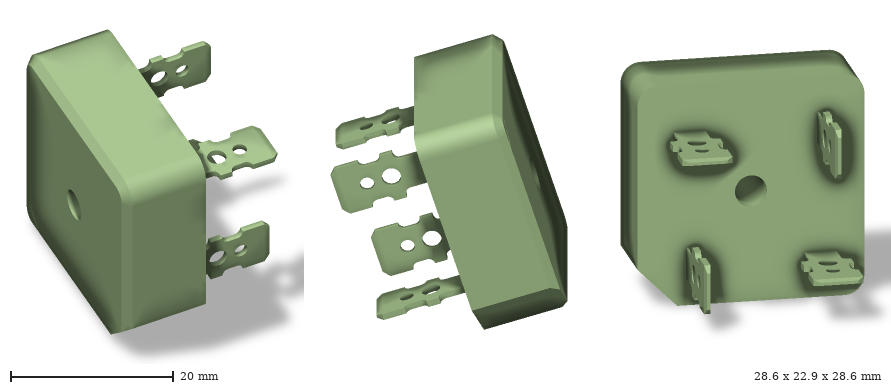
import cadquery as cq
import math


side = 28.55
housing_depth = 11.1
corner_radius = 2.5
front_bevel = 1.0
key_corner_leg = 5.0

plate_side = side - 2 * front_bevel
plate_thickness = 2.0
plate_corner_leg = 3.28
plate_key_leg = key_corner_leg
plate_slit = 0.25

bushing_diameter = 8.0
bushing_bore = 4.0
tab_span = 10.0
tab_width = 2.0

terminal_length = 11.8
terminal_width = 6.3
terminal_thickness = 0.8
tip_bevel_length = 0.8
tip_corner_leg = 0.8
tip_thickness = 0.4
notch_start = 3.75
notch_length = 2.8
notch_depth = 0.8
lug_length = 1.63
neck_width = 4.05
neck_fillet = 0.8
small_hole_diameter = 1.77
small_hole_distance = 4.0
large_hole_diameter = 2.37
large_hole_distance = 7.15

terminal_places = [
    (-8.7, -8.8, 0),
    (-8.7, 7.65, 90),
    (7.77, -8.8, 90),
    (7.77, 7.82, 0),
]


def front_sketch():
    """Workplane on the front face: local x is X, local y is Z; a negative extrusion goes toward +Y."""
    return cq.Workplane("XZ")


def plate_outline(slit):
    """Square with four cut corners; slit lengthens the -X -Z corner cut along X."""
    half = plate_side / 2
    inner = half - plate_corner_leg
    key = half - plate_key_leg
    return front_sketch().polyline([
        (-inner, half),
        (inner, half),
        (half, inner),
        (half, -key),
        (key, -half),
        (-inner + slit, -half),
        (-half, -inner),
        (-half, inner),
    ]).close()


def make_bushing_blank():
    """Round sleeve with four rounded-end tabs, without its bore."""
    core = front_sketch().circle(bushing_diameter / 2).extrude(-housing_depth)
    tabs = (
        front_sketch()
        .rect(tab_span, tab_width)
        .extrude(-housing_depth)
        .union(front_sketch().rect(tab_width, tab_span).extrude(-housing_depth))
    )
    tab_limit = front_sketch().circle(tab_span / 2).extrude(-housing_depth)
    return core.union(tabs.intersect(tab_limit))


def make_bushing():
    bore = front_sketch().circle(bushing_bore / 2).extrude(-housing_depth)
    return make_bushing_blank().cut(bore)


def make_base_plate():
    plate = plate_outline(plate_slit).extrude(-plate_thickness)
    return plate.cut(make_bushing_blank())


def make_housing():
    block = (
        front_sketch()
        .rect(side, side)
        .extrude(-housing_depth)
        .edges("|Y")
        .fillet(corner_radius)
        .faces("<Y")
        .edges()
        .chamfer(front_bevel)
    )
    half = side / 2
    key_corner = (
        front_sketch()
        .polyline([(half - key_corner_leg, -half), (half, -half), (half, -half + key_corner_leg)])
        .close()
        .extrude(-housing_depth)
    )
    plate_recess = plate_outline(0).extrude(-plate_thickness)
    return block.cut(key_corner).cut(plate_recess).cut(make_bushing_blank())


def terminal_blank():
    """Flat blank seen along Z: tip at Y = 0, body toward -Y, with its narrow neck at the far end."""
    half = terminal_width / 2
    neck_half = neck_width / 2
    lug_end = notch_start + notch_length + lug_length
    fillet_mid = neck_fillet * (1 - math.sqrt(0.5))
    return (
        cq.Workplane("XY", origin=(0, 0, -terminal_thickness / 2))
        .moveTo(0, 0)
        .lineTo(half - tip_corner_leg, 0)
        .lineTo(half, -tip_corner_leg)
        .lineTo(half, -lug_end)
        .lineTo(neck_half + neck_fillet, -lug_end)
        .threePointArc(
            (neck_half + fillet_mid, -lug_end - fillet_mid),
            (neck_half, -lug_end - neck_fillet),
        )
        .lineTo(neck_half, -terminal_length)
        .lineTo(0, -terminal_length)
        .mirrorY()
        .extrude(terminal_thickness)
    )


def edge_notches():
    """Round-ended slots centred on both long edges; the outer half of each misses the blank."""
    half = terminal_width / 2
    return (
        cq.Workplane("XY", origin=(0, -notch_start - notch_length / 2, -terminal_thickness / 2))
        .pushPoints([(-half, 0), (half, 0)])
        .slot2D(notch_length, 2 * notch_depth, 90)
        .extrude(terminal_thickness)
    )


def make_terminal():
    tip_flats = (
        cq.Workplane("YZ", origin=(-terminal_width / 2, 0, 0))
        .polyline([
            (0, tip_thickness / 2),
            (-tip_bevel_length, terminal_thickness / 2),
            (-terminal_length, terminal_thickness / 2),
            (-terminal_length, -terminal_thickness / 2),
            (-tip_bevel_length, -terminal_thickness / 2),
            (0, -tip_thickness / 2),
        ])
        .close()
        .extrude(terminal_width)
    )
    terminal = terminal_blank().intersect(tip_flats).cut(edge_notches())
    for diameter, distance in (
        (small_hole_diameter, small_hole_distance),
        (large_hole_diameter, large_hole_distance),
    ):
        hole = (
            cq.Workplane("XY", origin=(0, -distance, -terminal_thickness / 2))
            .circle(diameter / 2)
            .extrude(terminal_thickness)
        )
        terminal = terminal.cut(hole)
    return terminal


housing = make_housing()
base_plate = make_base_plate()
bushing = make_bushing()

terminal_tip = housing_depth + terminal_length
terminals = []
for x, z, turn in terminal_places:
    terminal = make_terminal().rotate((0, 0, 0), (0, 1, 0), turn).translate((x, terminal_tip, z))
    terminals.append(terminal.val())

result = cq.Compound.makeCompound([housing.val(), base_plate.val(), bushing.val(), *terminals])